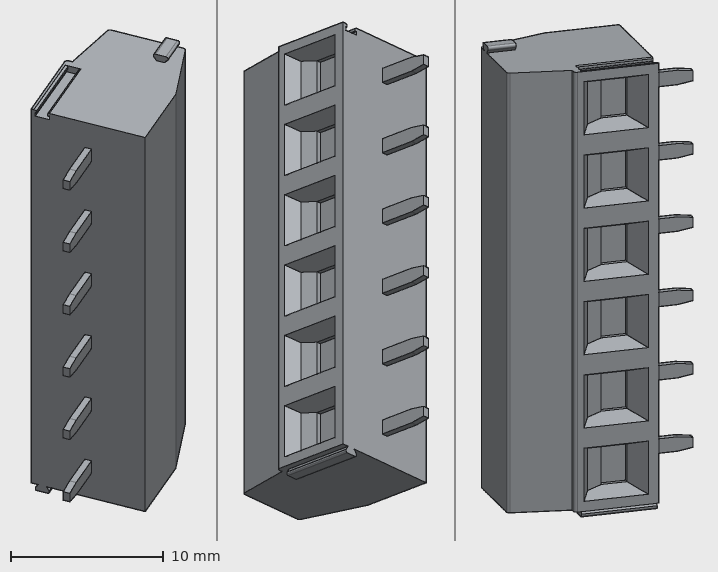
import cadquery as cq


total_height = 31.48
rib_height = 0.5
width = 8.1
depth = 10.0
pole_count = 6
body_height = total_height - 2 * rib_height
pitch = body_height / pole_count

step_y = 5.82
step_width = 0.47
left_inset = 1.3
right_inset = 1.35
right_kink_y = 5.15
edge_radius = 0.22

funnel_front = 0.72
funnel_back = 5.15
funnel_height = 3.68
funnel_depth = 1.35
slope_start_y = 4.6
slope_start_depth = 0.95
pocket_front = 1.73
pocket_back = 3.53
pocket_height = 2.6
pocket_depth = 0.3

pin_length = 3.65
pin_thickness = 0.47
pin_root_depth = 0.47
pin_width = 1.0
pin_tip_width = 0.7
pin_taper = 1.07

top_rib_x = 5.8
top_rib_base = 0.57
top_rib_wide = 1.42
top_rib_length = 1.95
top_rib_radius = 0.15
bottom_rib_x = 0.8
bottom_rib_base = 0.6
bottom_rib_wide = 0.98
bottom_rib_length = 5.23
bottom_rib_flare = 0.28
bottom_rib_radius = 0.1

groove_depth = rib_height
groove_length = 5.3
groove_floor_left = 0.28
groove_floor_right = 1.3
groove_neck_left = 0.38
groove_neck_right = 1.15
groove_neck_depth = 0.25
groove_mouth_left = 0.2
groove_mouth_right = 1.3
groove_lead_depth = 0.05


def pole_center(index):
    return (index + 0.5) * pitch


def extrude_along_y(points, start, length):
    """Extrude an X-Z outline from Y = start toward +Y."""
    plane = cq.Workplane("XZ", origin=(0, start, 0))
    return plane.polyline(points).close().extrude(-length)


def make_housing():
    outline = [
        (0, 0),
        (width, 0),
        (width, right_kink_y),
        (width - right_inset, depth),
        (left_inset, depth),
        (step_width, step_y),
        (0, step_y),
    ]
    housing = cq.Workplane("XY").polyline(outline).close().extrude(body_height)
    rounded_corners = [
        (0, step_y, body_height / 2),
        (left_inset, depth, body_height / 2),
        (width - right_inset, depth, body_height / 2),
    ]
    for corner in rounded_corners:
        edge = cq.selectors.NearestToPointSelector(corner)
        housing = housing.edges(edge).fillet(edge_radius)
    return housing


def make_funnel(z):
    """Tapered wire opening with a partly sloped floor and a straight pocket."""
    plan = [
        (0, funnel_front),
        (funnel_depth, pocket_front),
        (funnel_depth, pocket_back),
        (slope_start_depth, slope_start_y),
        (0, funnel_back),
    ]
    side = [
        (0, z - funnel_height / 2),
        (funnel_depth, z - pocket_height / 2),
        (funnel_depth, z + pocket_height / 2),
        (0, z + funnel_height / 2),
    ]
    tall = cq.Workplane("XY").polyline(plan).close().extrude(body_height)
    taper = tall.intersect(extrude_along_y(side, 0, depth))
    pocket = cq.Workplane("XY").box(
        pocket_depth,
        pocket_back - pocket_front,
        pocket_height,
        centered=(False, False, True),
    )
    return taper.union(pocket.translate((funnel_depth, pocket_front, z)))


def make_pin(z):
    """Flat pin with a tip tapered in Z, rooted inside the housing."""
    outline = [
        (pin_root_depth, z - pin_width / 2),
        (pin_taper - pin_length, z - pin_width / 2),
        (-pin_length, z - pin_tip_width / 2),
        (-pin_length, z + pin_tip_width / 2),
        (pin_taper - pin_length, z + pin_width / 2),
        (pin_root_depth, z + pin_width / 2),
    ]
    plane = cq.Workplane("YZ", origin=(width / 2, 0, 0))
    return plane.polyline(outline).close().extrude(pin_thickness / 2, both=True)


def make_top_rib():
    top_z = body_height + rib_height
    outline = [
        (top_rib_x - top_rib_base / 2, body_height),
        (top_rib_x + top_rib_base / 2, body_height),
        (top_rib_x + top_rib_wide / 2, top_z),
        (top_rib_x - top_rib_wide / 2, top_z),
    ]
    rib = extrude_along_y(outline, depth - top_rib_length, top_rib_length)
    return rib.faces(">Z").edges("|Y").fillet(top_rib_radius)


def make_bottom_rib():
    outline = [
        (bottom_rib_x - bottom_rib_base / 2, 0),
        (bottom_rib_x - bottom_rib_wide / 2, -bottom_rib_flare),
        (bottom_rib_x - bottom_rib_wide / 2, -rib_height),
        (bottom_rib_x + bottom_rib_wide / 2, -rib_height),
        (bottom_rib_x + bottom_rib_wide / 2, -bottom_rib_flare),
        (bottom_rib_x + bottom_rib_base / 2, 0),
    ]
    rib = extrude_along_y(outline, 0, bottom_rib_length)
    return rib.faces("<Z").edges("|Y").fillet(bottom_rib_radius)


def make_groove():
    floor_z = body_height - groove_depth
    neck_z = body_height - groove_neck_depth
    lead_z = body_height - groove_lead_depth
    outline = [
        (groove_mouth_left, body_height),
        (groove_neck_left, lead_z),
        (groove_neck_left, neck_z),
        (groove_floor_left, neck_z),
        (groove_floor_left, floor_z),
        (groove_floor_right, floor_z),
        (groove_floor_right, neck_z),
        (groove_neck_right, neck_z),
        (groove_neck_right, lead_z),
        (groove_mouth_right, body_height),
    ]
    return extrude_along_y(outline, 0, groove_length)


result = make_housing().cut(make_groove())
result = result.union(make_top_rib()).union(make_bottom_rib())
for pole in range(pole_count):
    result = result.cut(make_funnel(pole_center(pole)))
    result = result.union(make_pin(pole_center(pole)))